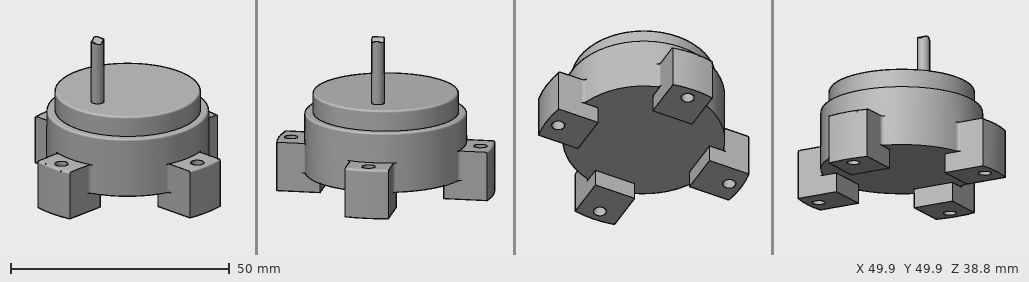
import cadquery as cq

housing_diameter = 37.0
cap_diameter = 33.3
housing_bottom = 4.5
shoulder_height = 18.5
cap_top = 23.3
rim_fillet = 0.5

lug_count = 4
lug_outer_radius = 24.95
lug_inner_distance = 14.3
lug_width = 10.1
lug_top = 11.45
lug_root_fillet = 0.85
lug_hole_diameter = 3.0
lug_hole_distance = 21.95

wire_diameter = 2.9
wire_offset = 10.0
wire_top = 38.75
wave_height = 0.45


def disc(diameter, bottom, top):
    """Upright cylinder on the Z axis between two heights."""
    return cq.Workplane("XY").workplane(offset=bottom).circle(diameter / 2).extrude(top - bottom)


def make_lug(bottom):
    """Lug on the +X side, with a flat inner face and an outer face concentric with the housing."""
    length = lug_outer_radius - lug_inner_distance
    block = (
        cq.Workplane("XY")
        .box(length, lug_width, lug_top - bottom, centered=(False, True, False))
        .translate((lug_inner_distance, 0, bottom))
    )
    lug = block.intersect(disc(2 * lug_outer_radius, bottom, lug_top))
    return lug.faces(">X").edges(">Z").fillet(rim_fillet)


def add_lugs(body, bottom):
    """Join evenly spaced lugs to a body."""
    for index in range(lug_count):
        lug = make_lug(bottom).rotate((0, 0, 0), (0, 0, 1), index * 360 / lug_count)
        body = body.union(lug)
    return body


def make_housing():
    joined = add_lugs(disc(housing_diameter, housing_bottom, lug_top), housing_bottom)
    corner_reach = housing_diameter / 2
    corners = cq.selectors.BoxSelector(
        (-corner_reach, -corner_reach, 0), (corner_reach, corner_reach, lug_top)
    )
    body = joined.edges("|Z").edges(corners).fillet(lug_root_fillet)

    drum = disc(housing_diameter, housing_bottom, shoulder_height).faces(">Z").edges().fillet(rim_fillet)
    cap = disc(cap_diameter, housing_bottom, cap_top).faces(">Z").edges().fillet(rim_fillet)
    body = body.union(drum).union(cap)

    body = add_lugs(body, 0)
    holes = (
        cq.Workplane("XY")
        .polarArray(lug_hole_distance, 0, 360, lug_count)
        .circle(lug_hole_diameter / 2)
        .extrude(lug_top)
    )
    return body.cut(holes)


def make_wire():
    """Round wire standing on the cap, with an S-shaped break at its free end."""
    radius = wire_diameter / 2
    wave_middle = wire_top - wave_height
    profile = (
        cq.Workplane("YZ")
        .moveTo(-radius, cap_top)
        .lineTo(radius, cap_top)
        .lineTo(radius, wave_middle)
        .threePointArc((radius / 2, wire_top), (0, wave_middle))
        .threePointArc((-radius / 2, wave_middle - wave_height), (-radius, wave_middle))
        .close()
        .extrude(radius, both=True)
    )
    wire = disc(wire_diameter, cap_top, wire_top).intersect(profile)
    return wire.translate((0, -wire_offset, 0))


housing = make_housing()
wire = make_wire()
result = cq.Compound.makeCompound([housing.solids().val(), wire.solids().val()])